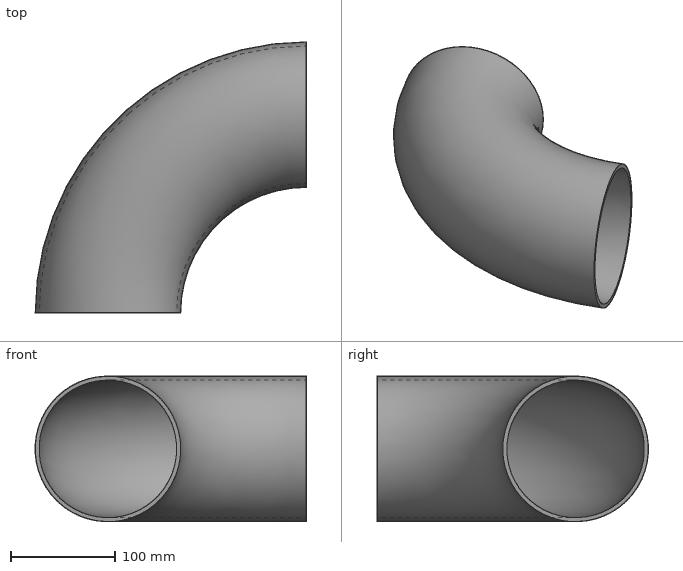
import cadquery as cq

overall_length = 260.4
outer_diameter = 139.8
wall_thickness = 4.0
bend_angle = 90.0

outer_radius = outer_diameter / 2
inner_radius = outer_radius - wall_thickness
bend_radius = overall_length - outer_radius


def make_elbow():
    """Sweep the pipe's ring section about the vertical bend axis.

    The section starts on the -X side, facing -Y, and turns to face +X.
    """
    ring_section = (
        cq.Workplane("XZ")
        .center(-bend_radius, 0)
        .circle(outer_radius)
        .circle(inner_radius)
    )
    axis_start = (bend_radius, 0)
    axis_end = (bend_radius, -1)
    return ring_section.revolve(bend_angle, axis_start, axis_end)


result = make_elbow()